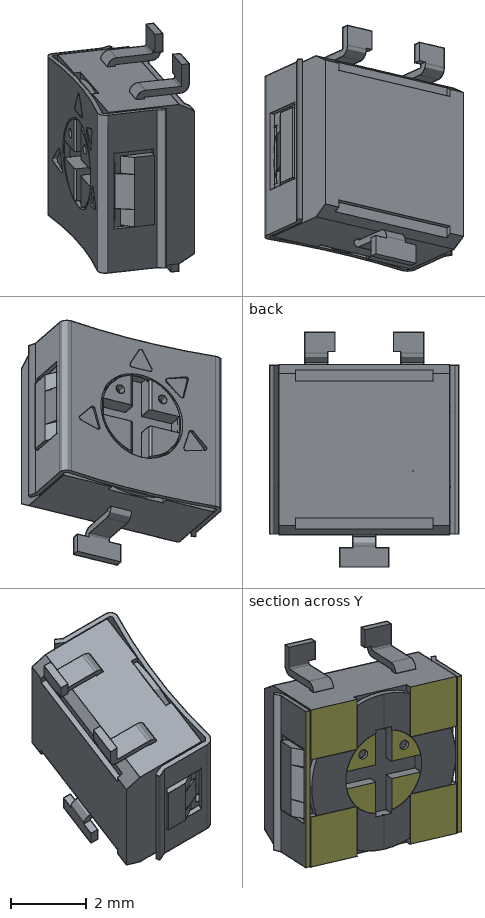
import cadquery as cq
import math

body_half = 2.245
body_height = 4.5
body_back = 1.3
body_front = -1.085
back_bevel_depth = 0.43
back_bevel_height = 0.24

notch_width = 3.62
notch_floor = 1.15
base_plate_half = 1.81

disc_back = -0.905
disc_radius = 2.22
disc_front = -1.08
boss_radius = 1.17
boss_front = -1.24
slot_width = 0.485
slot_floor = -0.78
upright_slot_length = 2.48
level_slot_length = 2.28
slot_bevel_width = 0.07
slot_bevel_depth = 0.05
stop_hole_radius = 0.125
stop_hole_offset = 0.63
stop_hole_depth = 0.25

rim_notch_width = 1.625

clip_thickness = 0.13
clip_half = 2.4
clip_height = 4.465
clip_crown = -1.21
clip_corner_drop = 0.19
clip_corner_radius = 0.22
clip_bend = 0.205
clip_tip_back = 0.42
clip_tip_angle = 26.5
clip_tip_rounding = 0.025
clip_window_radius = 1.22

window_back = 0.12
window_front = -0.98
window_top = 1.135
window_bottom = -1.005
latch_outer = 2.46
latch_half_height = 0.98
latch_ridge = -0.43
latch_toe = -0.75
latch_tab_toe = -0.9
latch_tab_half_height = 0.495

arrow_orbit = 1.61
arrow_corner_distance = 0.435
arrow_corner_radius = 0.06
arrow_floor = -1.2
arrow_angles = (90.0, 46.7, -16.8, 196.8)

lead_tip = 3.1
lead_back = 1.365
pad_thickness = 0.22
pad_start = 2.585
lead_shelf_top = 2.485
lead_thickness = 0.19
lead_front = -0.105
lead_root_back = 0.12
lead_root_depth = 0.125
lead_outer_radius = 0.255
lead_inner_radius = 0.04
lead_width = 0.615
top_pad_width = 0.805
top_lead_outer_side = 1.575
bottom_pad_width = 1.3


def box(x_min, x_max, y_min, y_max, z_min, z_max):
    """Box given by its limits along each axis."""
    size = (x_max - x_min, y_max - y_min, z_max - z_min)
    return cq.Workplane("XY").box(*size, centered=False).translate((x_min, y_min, z_min))


def disc(radius, y_front, y_back):
    """Cylinder about the Y axis between two Y positions."""
    return cq.Workplane("XZ", origin=(0, y_back, 0)).circle(radius).extrude(y_back - y_front)


def both_sides(shape):
    """The shape together with its mirror image in X."""
    return shape.union(shape.mirror("YZ"))


def make_housing():
    top = body_height / 2
    profile = [
        (body_front, -top),
        (body_back - back_bevel_depth, -top),
        (body_back, -top + back_bevel_height),
        (body_back, top - back_bevel_height),
        (body_back - back_bevel_depth, top),
        (body_front, top),
    ]
    housing = cq.Workplane("YZ").polyline(profile).close().extrude(body_half, both=True)
    half_notch = notch_width / 2
    notch = box(-half_notch, half_notch, notch_floor, body_back, base_plate_half, top)
    housing = housing.cut(notch).cut(notch.mirror("XY"))
    half_rim = rim_notch_width / 2
    upright_channel = box(-half_rim, half_rim, body_front, disc_back, -top, top)
    level_channel = box(-body_half, body_half, body_front, disc_back, -half_rim, half_rim)
    return housing.cut(upright_channel).cut(level_channel)


def make_latch_block(half_height, toe):
    """Latch outline from its flat back, over the ridge, sloping down to its toe."""
    outline = [
        (body_half, window_back),
        (latch_outer, window_back),
        (latch_outer, latch_ridge),
        (body_half, toe),
    ]
    return cq.Workplane("XY").polyline(outline).close().extrude(half_height, both=True)


def make_latches():
    latch = make_latch_block(latch_half_height, latch_toe)
    tab = make_latch_block(latch_tab_half_height, latch_tab_toe)
    return both_sides(latch.union(tab))


def make_rotor():
    return disc(disc_radius, disc_front, disc_back).union(disc(boss_radius, boss_front, disc_front))


def make_rotor_cuts():
    half_slot = slot_width / 2
    half_upright = upright_slot_length / 2
    half_level = level_slot_length / 2
    half_bevel = half_slot + slot_bevel_width
    bevel_bottom = boss_front + slot_bevel_depth
    upright_profile = [
        (-half_bevel, boss_front),
        (-half_slot, bevel_bottom),
        (-half_slot, slot_floor),
        (half_slot, slot_floor),
        (half_slot, bevel_bottom),
        (half_bevel, boss_front),
    ]
    upright = cq.Workplane("XY").polyline(upright_profile).close().extrude(half_upright, both=True)
    level = box(-half_level, half_level, boss_front, slot_floor, -half_slot, half_slot)
    hole = disc(stop_hole_radius, boss_front, boss_front + stop_hole_depth)
    holes = both_sides(hole.translate((stop_hole_offset, 0, stop_hole_offset)))
    return upright.union(level).union(holes)


def clip_core(inset):
    """Solid filling the clip outline, moved inward by the inset: flat sides and a bowed-in front."""
    side = clip_half - inset
    crown = clip_crown + inset
    corner = crown - clip_corner_drop * (side / clip_half) ** 2
    return (
        cq.Workplane("XY")
        .moveTo(-side, clip_bend)
        .lineTo(-side, corner)
        .threePointArc((0, crown), (side, corner))
        .lineTo(side, clip_bend)
        .close()
        .extrude(clip_height / 2, both=True)
        .edges("|Z and <Y")
        .fillet(clip_corner_radius - inset)
    )


def make_arrow_marks():
    marks = cq.Workplane("XZ")
    for angle in arrow_angles:
        radians = math.radians(angle)
        arrow = (
            cq.Workplane("XZ")
            .polygon(3, 2 * arrow_corner_distance)
            .extrude(clip_corner_drop)
            .edges("|Y")
            .fillet(arrow_corner_radius)
            .rotate((0, 0, 0), (0, 1, 0), -angle)
            .translate((arrow_orbit * math.cos(radians), arrow_floor, arrow_orbit * math.sin(radians)))
        )
        marks = marks.union(arrow)
    return marks


def make_clip_tip():
    """End of the clip side, bent outward and rounded at its free edge."""
    lean = math.radians(clip_tip_angle)
    inner = clip_half - clip_thickness
    tip_half = clip_half + (clip_tip_back - clip_bend) * math.tan(lean)
    inner_bend = clip_bend + clip_thickness * math.tan(lean / 2)
    outline = [
        (inner, clip_bend),
        (clip_half, clip_bend),
        (tip_half, clip_tip_back),
        (tip_half - clip_thickness * math.cos(lean), clip_tip_back + clip_thickness * math.sin(lean)),
        (inner, inner_bend),
    ]
    tip = cq.Workplane("XY").polyline(outline).close().extrude(clip_height / 2, both=True)
    for corner in (outline[2], outline[3]):
        tip = tip.edges(cq.NearestToPointSelector((*corner, 0))).fillet(clip_tip_rounding)
    return tip


def make_clip():
    clip = clip_core(0).cut(clip_core(clip_thickness)).union(both_sides(make_clip_tip()))
    window = box(body_half, latch_outer, window_front, window_back, window_bottom, window_top)
    clip = clip.cut(both_sides(window))
    clip = clip.cut(disc(clip_window_radius, clip_crown - clip_corner_drop, disc_back))
    return clip.cut(make_arrow_marks())


def make_lead(pad_offset, pad_width):
    """Lead standing on the top face, centred on X = 0; its pad is shifted by pad_offset."""
    shelf_bottom = lead_shelf_top - lead_thickness
    pad_front = lead_back - pad_thickness
    root = body_height / 2 - lead_root_depth
    outline = [
        (lead_back, lead_tip),
        (lead_back, shelf_bottom),
        (lead_root_back, shelf_bottom),
        (lead_root_back, root),
        (lead_front, root),
        (lead_front, lead_shelf_top),
        (pad_front, lead_shelf_top),
        (pad_front, lead_tip),
    ]
    strip = cq.Workplane("YZ").polyline(outline).close().extrude(lead_width / 2, both=True)
    bends = [
        (lead_back, shelf_bottom, lead_outer_radius),
        (lead_front, lead_shelf_top, lead_outer_radius),
        (pad_front, lead_shelf_top, lead_inner_radius),
    ]
    for y, z, radius in bends:
        strip = strip.edges(cq.NearestToPointSelector((0, y, z))).fillet(radius)
    half_pad = pad_width / 2
    pad = box(pad_offset - half_pad, pad_offset + half_pad, pad_front, lead_back, pad_start, lead_tip)
    return strip.union(pad)


def make_leads():
    top_lead = make_lead((lead_width - top_pad_width) / 2, top_pad_width)
    top_leads = both_sides(top_lead.translate((top_lead_outer_side - lead_width / 2, 0, 0)))
    bottom_lead = make_lead(0, bottom_pad_width).mirror("XY")
    return top_leads.union(bottom_lead)


result = (
    make_housing()
    .union(make_rotor())
    .cut(make_rotor_cuts())
    .union(make_latches())
    .union(make_clip())
    .union(make_leads())
)